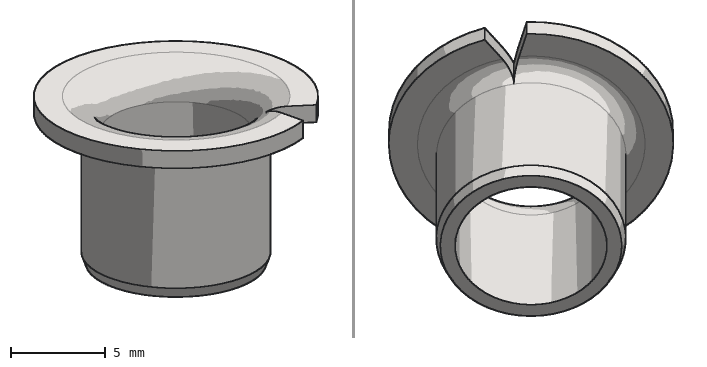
import cadquery as cq
import math

bore_radius = 4.0
wall = 1.0
flange_radius = 7.5
height = 9.5
throat_radius = 2.0
lead_in_height = 0.6
lead_in_angle = 20.0
notch_angle = 50.0

barrel_radius = bore_radius + wall
flange_bottom = height - wall
under_flange_radius = throat_radius - wall
arc_center_r = bore_radius + throat_radius
arc_center_z = height - throat_radius
lead_in_inset = lead_in_height * math.tan(math.radians(lead_in_angle))
diagonal = math.sqrt(0.5)


def arc_middle(radius):
    """Midpoint of a quarter arc that turns the wall outward into the flange."""
    return (arc_center_r - radius * diagonal, arc_center_z + radius * diagonal)


def bushing():
    """Flanged sleeve of constant wall, revolved about Z."""
    profile = (
        cq.Workplane("XZ")
        .moveTo(bore_radius, 0)
        .lineTo(barrel_radius - lead_in_inset, 0)
        .lineTo(barrel_radius, lead_in_height)
        .lineTo(barrel_radius, arc_center_z)
        .threePointArc(arc_middle(under_flange_radius), (arc_center_r, flange_bottom))
        .lineTo(flange_radius, flange_bottom)
        .lineTo(flange_radius, height)
        .lineTo(arc_center_r, height)
        .threePointArc(arc_middle(throat_radius), (bore_radius, arc_center_z))
        .close()
    )
    return profile.revolve(360, (0, 0, 0), (0, 1, 0))


def notch():
    """V-shaped cutter on +X, with its apex on the barrel's outer surface."""
    length = flange_radius
    half_width = length * math.tan(math.radians(notch_angle / 2))
    return (
        cq.Workplane("XY")
        .moveTo(barrel_radius, 0)
        .lineTo(barrel_radius + length, half_width)
        .lineTo(barrel_radius + length, -half_width)
        .close()
        .extrude(height)
    )


result = bushing().cut(notch())